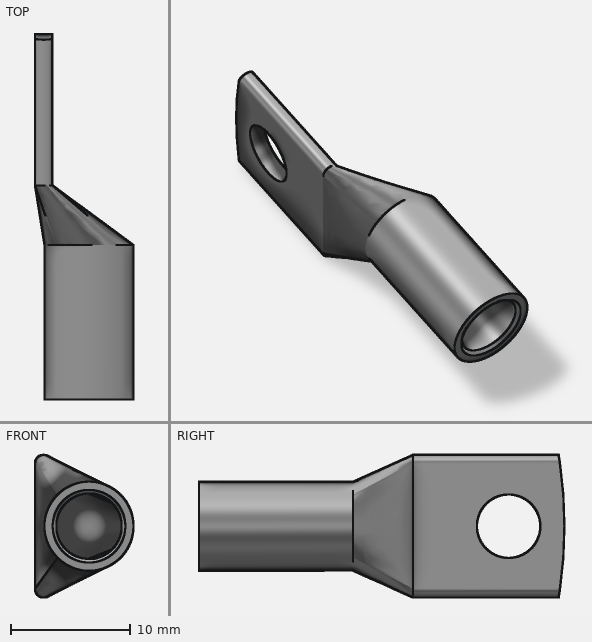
import cadquery as cq
import math

total_length = 30.7
palm_width = 12.0
overall_depth = 8.3

barrel_diameter = 7.5
barrel_length = 12.95
bore_diameter = 5.5
mouth_chamfer = 0.3

palm_thickness = 1.47
palm_start = 18.0
tip_bow = 0.5
stud_hole_diameter = 5.3
stud_hole_to_tip = 4.7

slit_width = 0.12
slit_length = 8.6

palm_back = barrel_diameter / 2 - overall_depth
palm_center = palm_back + palm_thickness / 2


def section(y):
    """Workplane across the barrel axis at distance y from the mouth."""
    return cq.Workplane("XZ", origin=(0, y, 0))


def circle_outline(plane, diameter):
    """Circle made of four arcs, so that it pairs with the four edges of a flat outline."""
    radius = diameter / 2
    diagonal = radius * math.sqrt(0.5)
    return (
        plane.moveTo(diagonal, diagonal)
        .threePointArc((0, radius), (-diagonal, diagonal))
        .threePointArc((-radius, 0), (-diagonal, -diagonal))
        .threePointArc((0, -radius), (diagonal, -diagonal))
        .threePointArc((radius, 0), (diagonal, diagonal))
        .close()
    )


def flat_outline(plane, thickness, width):
    """Flat outline with fully rounded ends, centered in the palm thickness."""
    left = palm_center - thickness / 2
    right = palm_center + thickness / 2
    end = width / 2
    straight_end = end - thickness / 2
    return (
        plane.moveTo(right, straight_end)
        .threePointArc((palm_center, end), (left, straight_end))
        .lineTo(left, -straight_end)
        .threePointArc((palm_center, -end), (right, -straight_end))
        .close()
    )


def transition(diameter, thickness, width):
    """Straight-ruled blend from a round barrel section to a flat palm section."""
    round_wire = circle_outline(section(barrel_length), diameter).val()
    flat_wire = flat_outline(section(palm_start), thickness, width).val()
    return cq.Workplane(cq.Solid.makeLoft([round_wire, flat_wire], True))


def make_palm():
    slab = flat_outline(section(palm_start), palm_thickness, palm_width)
    slab = slab.extrude(palm_start - total_length)

    half_width = palm_width / 2
    tip_corner = total_length - tip_bow
    bowed_profile = (
        cq.Workplane("YZ", origin=(palm_back, 0, 0))
        .moveTo(palm_start, -half_width)
        .lineTo(tip_corner, -half_width)
        .threePointArc((total_length, 0), (tip_corner, half_width))
        .lineTo(palm_start, half_width)
        .close()
        .extrude(palm_thickness)
    )
    stud_hole = (
        cq.Workplane("YZ", origin=(palm_back, 0, 0))
        .center(total_length - stud_hole_to_tip, 0)
        .circle(stud_hole_diameter / 2)
        .extrude(palm_thickness)
    )
    return slab.intersect(bowed_profile).cut(stud_hole)


def make_barrel():
    tube = circle_outline(section(0), barrel_diameter).extrude(-barrel_length)
    bore = circle_outline(section(0), bore_diameter).extrude(-barrel_length)
    mouth = cq.Workplane(
        cq.Solid.makeCone(
            bore_diameter / 2 + mouth_chamfer,
            bore_diameter / 2,
            mouth_chamfer,
            pnt=cq.Vector(0, 0, 0),
            dir=cq.Vector(0, 1, 0),
        )
    )
    return tube.cut(bore).cut(mouth)


neck = transition(barrel_diameter, palm_thickness, palm_width).cut(
    transition(bore_diameter, slit_width, slit_length)
)

result = make_barrel().union(neck).union(make_palm())